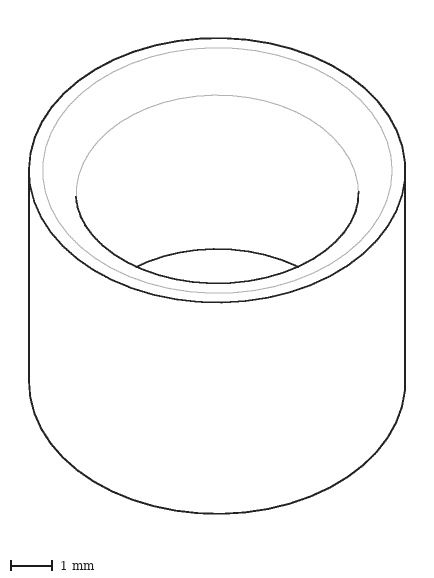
import cadquery as cq

outer_diameter = 9.0
bore_diameter = 6.75
height = 7.1
mouth_radius = 0.8

wall_thickness = (outer_diameter - bore_diameter) / 2
floor_thickness = wall_thickness
bore_depth = height - floor_thickness


def make_body():
    """Solid cylinder standing on the XY plane."""
    return cq.Workplane("XY").circle(outer_diameter / 2).extrude(height)


def cut_blind_bore(body):
    """Blind bore from the top face, with a rounded mouth."""
    bored = body.faces(">Z").workplane().hole(bore_diameter, bore_depth)
    mouth_edge = bored.faces(">Z").edges(cq.selectors.RadiusNthSelector(0))
    return mouth_edge.fillet(mouth_radius)


result = cut_blind_bore(make_body())